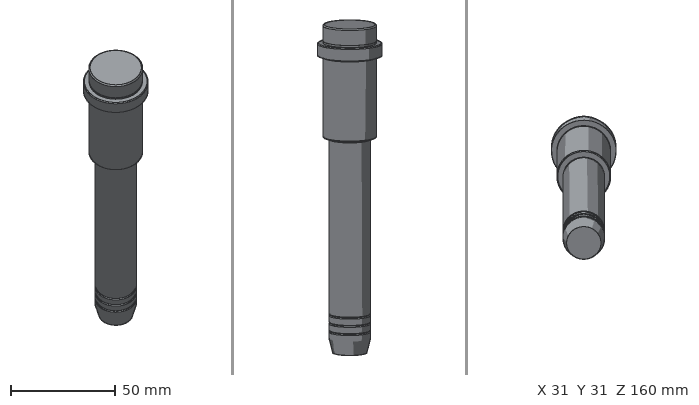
import cadquery as cq

total_length = 160.0
head_length = 9.0
flange_thickness = 6.0
shoulder_length = 55.0
tip_length = 7.0

flange_diameter = 31.0
body_diameter = 26.0
pin_diameter = 20.0
tip_diameter = 16.5

edge_chamfer = 0.5
top_chamfer = 0.6
relief_width = 1.0
flange_relief_depth = 0.2
shoulder_relief_depth = 0.5
oil_groove_depth = 0.5
oil_groove_count = 3
oil_groove_pitch = 4.0
first_oil_groove_z = 10.5

flange_top = total_length - head_length
flange_bottom = flange_top - flange_thickness
shoulder_z = total_length - shoulder_length


def cylinder(diameter, bottom, top):
    return cq.Workplane("XY").workplane(offset=bottom).circle(diameter / 2).extrude(top - bottom)


def groove_ring(diameter, depth, bottom, width):
    """Ring that cuts a square groove of the given depth into a cylinder."""
    return cylinder(diameter, bottom, bottom + width).cut(
        cylinder(diameter - 2 * depth, bottom, bottom + width)
    )


def v_groove_ring(diameter, depth, center):
    """Ring that cuts a 90 degree V groove of the given depth into a cylinder."""
    radius = diameter / 2
    profile = [
        (radius - depth, center),
        (radius + depth, center + 2 * depth),
        (radius + depth, center - 2 * depth),
    ]
    return cq.Workplane("XZ").polyline(profile).close().revolve(360, (0, 0, 0), (0, 1, 0))


tip = (
    cq.Workplane("XY")
    .circle(tip_diameter / 2)
    .workplane(offset=tip_length)
    .circle(pin_diameter / 2)
    .loft(combine=True)
)
pin = cylinder(pin_diameter, tip_length, shoulder_z).union(tip)

for index in range(oil_groove_count):
    groove_center = first_oil_groove_z + index * oil_groove_pitch
    pin = pin.cut(v_groove_ring(pin_diameter, oil_groove_depth, groove_center))

pin = pin.cut(groove_ring(pin_diameter, shoulder_relief_depth, shoulder_z - relief_width, relief_width))

body = cylinder(body_diameter, shoulder_z, total_length)
body = body.faces("<Z").chamfer(edge_chamfer)
body = body.faces(">Z").chamfer(top_chamfer)
for relief_bottom in (flange_top, flange_bottom - relief_width):
    body = body.cut(groove_ring(body_diameter, flange_relief_depth, relief_bottom, relief_width))

flange = cylinder(flange_diameter, flange_bottom, flange_top).faces(">Z").chamfer(edge_chamfer)

result = pin.union(body).union(flange)